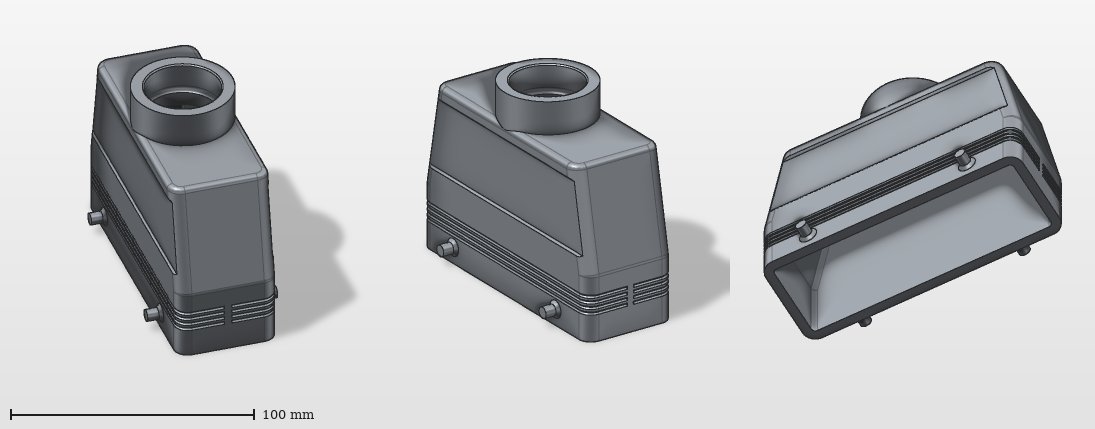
import cadquery as cq
import math

body_length = 120.0
body_width = 43.2
body_height = 76.1
taper_start_z = 29.5
roof_length = 101.5
corner_radius = 6.0
roof_edge_radius = 2.5
taper_blend_radius = 6.0
wall = 4.1

total_height = 91.0
collar_radius = 21.5
bore_radius = 16.0
bore_chamfer = 0.6
bore_depth = 10.5
passage_radius = 14.9
ledge_height = 2.6

recess_bottom_z = 37.0
recess_top_z = 70.1
recess_depth = 1.0

groove_count = 4
groove_pitch = 2.5
groove_depth = 0.7
first_groove_z = 12.8
groove_gap = 3.2

pin_span = 56.0
pin_spacing = 74.2
pin_z = 7.3
pin_radius = 2.5
pin_cone_height = 1.5

taper_angle = math.atan2((body_length - roof_length) / 2, body_height - taper_start_z)


def tapered_prism(offset):
    """Body outline moved inwards by offset, extruded along Y, with its base on z = 0."""
    half_base = body_length / 2 - offset
    half_roof = roof_length / 2 - offset / math.cos(taper_angle) + offset * math.tan(taper_angle)
    break_z = taper_start_z - offset * math.tan(taper_angle / 2)
    roof_z = body_height - offset
    outline = [
        (-half_base, 0),
        (half_base, 0),
        (half_base, break_z),
        (half_roof, roof_z),
        (-half_roof, roof_z),
        (-half_base, break_z),
    ]
    return cq.Workplane("XZ").polyline(outline).close().extrude(body_width / 2 - offset, both=True)


def outer_body():
    """Solid hood with blended tapers, rounded corners and a rounded roof edge."""
    body = tapered_prism(0)
    body = body.edges("|Y and (>X or <X) and (not <Z)").fillet(taper_blend_radius)
    body = body.edges("not(|X or |Y)").fillet(corner_radius)
    return body.faces(">Z").edges().fillet(roof_edge_radius)


def cavity():
    """Hollow inside, open at the base and one wall thickness from the outside."""
    return tapered_prism(wall).edges("not(|X or |Y)").fillet(corner_radius - wall)


def recess(side):
    """Panel recess with 45 degree top and bottom flanks; side is -1 or 1 along Y."""
    face_y = side * body_width / 2
    floor_y = face_y - side * recess_depth
    profile = [
        (face_y, recess_bottom_z),
        (floor_y, recess_bottom_z + recess_depth),
        (floor_y, recess_top_z - recess_depth),
        (face_y, recess_top_z),
    ]
    return cq.Workplane("YZ").polyline(profile).close().extrude(body_length / 2, both=True)


def groove(z):
    """V-groove ring centred on height z, with a gap left on each short side."""
    height = 2 * groove_depth
    ring = cq.Workplane("XY").box(body_length, body_width, height)
    half_core = (
        cq.Workplane("XY", origin=(0, 0, groove_depth))
        .placeSketch(cq.Sketch().rect(body_length, body_width).vertices().fillet(corner_radius))
        .extrude(-groove_depth, taper=45)
    )
    bridge = cq.Workplane("XY").box(body_length, groove_gap, height)
    ring = ring.cut(half_core).cut(half_core.mirror("XY")).cut(bridge)
    return ring.translate((0, 0, z))


def collar():
    """Round cable entry, started inside the roof so that it joins the body."""
    start_z = body_height - wall / 2
    return cq.Workplane("XY", origin=(0, 0, start_z)).circle(collar_radius).extrude(total_height - start_z)


def bore():
    """Chamfered entry bore, concave ledge and narrower passage opening into the cavity."""
    ledge_top_z = total_height - bore_depth
    ledge_bottom_z = ledge_top_z - ledge_height
    step = bore_radius - passage_radius
    arc_inset = 1 - math.sqrt(0.5)
    ledge_middle = (bore_radius - step * arc_inset, ledge_bottom_z + ledge_height * arc_inset)
    start_z = body_height - 2 * wall
    return (
        cq.Workplane("XZ")
        .moveTo(0, start_z)
        .lineTo(passage_radius, start_z)
        .lineTo(passage_radius, ledge_bottom_z)
        .threePointArc(ledge_middle, (bore_radius, ledge_top_z))
        .lineTo(bore_radius, total_height - bore_chamfer)
        .lineTo(bore_radius + bore_chamfer, total_height)
        .lineTo(0, total_height)
        .close()
        .revolve(360, (0, 0), (0, 1))
    )


def pin(x, side):
    """Round pin with a conical foot on the long side given by side (-1 or 1 along Y)."""
    foot_y = body_width / 2
    foot_radius = pin_radius + pin_cone_height
    root_y = foot_y - wall / 2
    profile = [
        (0, root_y),
        (foot_radius, root_y),
        (foot_radius, foot_y),
        (pin_radius, foot_y + pin_cone_height),
        (pin_radius, pin_span / 2),
        (0, pin_span / 2),
    ]
    shape = cq.Workplane("XY").polyline(profile).close().revolve(360, (0, 0), (0, 1))
    if side < 0:
        shape = shape.mirror("XZ")
    return shape.translate((x, 0, pin_z))


result = outer_body()
for side in (-1, 1):
    result = result.cut(recess(side))
for index in range(groove_count):
    result = result.cut(groove(first_groove_z + index * groove_pitch))
result = result.union(collar()).cut(cavity()).cut(bore())
for side in (-1, 1):
    for x in (-pin_spacing / 2, pin_spacing / 2):
        result = result.union(pin(x, side))